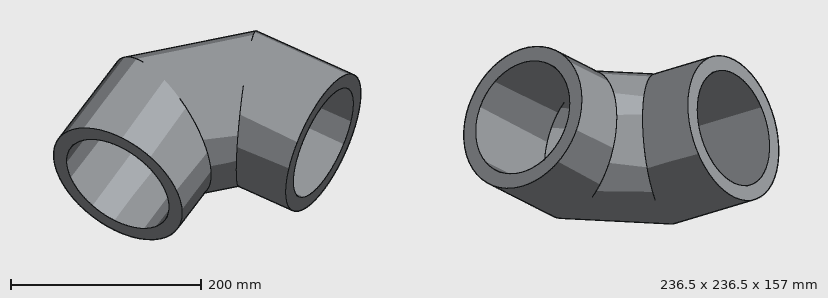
import cadquery as cq

overall_length = 236.5
outer_diameter = 157.0
bore_diameter = 124.9
leg_length = 92.7

open_end = overall_length / 2
axis_offset = open_end - outer_diameter / 2
mitre_position = open_end - leg_length

axis_points = [
    (-axis_offset, -open_end),
    (-axis_offset, -mitre_position),
    (mitre_position, axis_offset),
    (open_end, axis_offset),
]
pipe_axis = cq.Workplane("XY").polyline(axis_points)


end_plane = cq.Workplane("XZ", origin=(*axis_points[0], 0))
end_ring = end_plane.circle(outer_diameter / 2).circle(bore_diameter / 2)
result = end_ring.sweep(pipe_axis, transition="right")